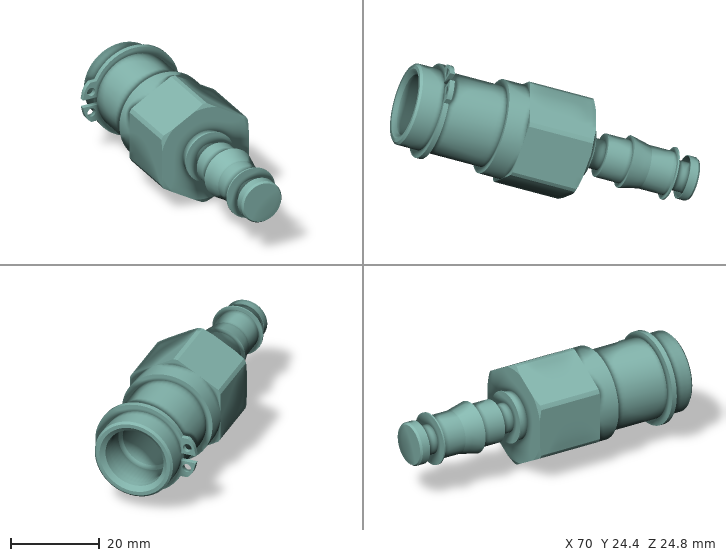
import cadquery as cq
import math

LENGTH = 70.0
GROOVE_START = 5.7
GROOVE_WIDTH = 1.4
COLLAR_START = 20.9
HEX_START = 26.0
HEX_END = 42.0
STEP_END = 44.2
BARREL_START = 47.5
BARB_START = 53.4
BARB_END = 58.1
BARREL_END = 64.5
HEAD_START = 67.55
LIP_WIDTH = 0.35

BODY_DIA = 19.0
GROOVE_DIA = 18.0
COLLAR_DIA = 22.0
STEP_DIA = 11.5
LIP_DIA = 12.25
NECK_DIA = 7.0
BARREL_DIA = 10.15
END_CHAMFER = 0.5
HEAD_CHAMFER_DEPTH = 0.35
HEAD_RECESS_DIA = 9.8
HEAD_RECESS_DEPTH = 1.75

HEX_FLATS = COLLAR_DIA
HEX_CORNER_DIA = 24.8
HEX_CHAMFER_LENGTH = 0.4
HEX_CHAMFER_DEPTH = 1.0

MOUTH_DIA = 16.25
BORE_DIA = 14.1
INNER_BORE_DIA = 12.5
MOUTH_DEPTH = 0.9
BORE_DEPTH = 8.75
SHOULDER_LENGTH = (BORE_DIA - INNER_BORE_DIA) / 2
INNER_BORE_DEPTH = 21.0
DRILL_TIP_ANGLE = 118.0

RING_WIDTH = 1.2
RING_DIA = 22.0
RING_OFFSET = 0.4
RING_TILT = 1.3
LUG_REACH = 12.95
LUG_HALF_HEIGHT = 5.0
LUG_ROOT = 8.4
LUG_SHOULDER = 10.9
LUG_ARC_MIDDLE = (12.0, 3.9)
LUG_ARC_END = (12.6, 2.5)
RING_GAP = 1.9
EYE_DIA = 2.0
EYE_RADIAL = 10.85
EYE_SPACING = 5.2


def revolve_profile(points):
    """Revolve (x, radius) points, closed along the X axis."""
    closed = [(points[0][0], 0), *points]
    end_x, end_radius = points[-1]
    if end_radius > 0:
        closed.append((end_x, 0))
    return cq.Workplane("XY").polyline(closed).close().revolve(360, (0, 0, 0), (1, 0, 0))


def cylinder(start, end, diameter):
    return revolve_profile([(start, diameter / 2), (end, diameter / 2)])


def chamfered_cylinder(start, end, diameter, chamfer_length, chamfer_depth):
    """Cylinder with a conical edge at its +X end."""
    radius = diameter / 2
    return revolve_profile([
        (start, radius),
        (end - chamfer_length, radius),
        (end, radius - chamfer_depth),
    ])


def socket_body():
    body = revolve_profile([
        (0, BODY_DIA / 2 - END_CHAMFER),
        (END_CHAMFER, BODY_DIA / 2),
        (COLLAR_START, BODY_DIA / 2),
    ])
    groove_end = GROOVE_START + GROOVE_WIDTH
    groove = cylinder(GROOVE_START, groove_end, COLLAR_DIA).cut(
        cylinder(GROOVE_START, groove_end, GROOVE_DIA)
    )
    return body.cut(groove).union(cylinder(COLLAR_START, HEX_START, COLLAR_DIA))


def hexagon():
    sharp_corner_dia = HEX_FLATS / math.cos(math.pi / 6)
    prism = (
        cq.Workplane("YZ", origin=(HEX_START, 0, 0))
        .transformed(rotate=(0, 0, 90))
        .polygon(6, sharp_corner_dia)
        .extrude(HEX_END - HEX_START)
    )
    return prism.intersect(chamfered_cylinder(
        HEX_START, HEX_END, HEX_CORNER_DIA, HEX_CHAMFER_LENGTH, HEX_CHAMFER_DEPTH
    ))


def hose_barb():
    stem = cylinder(HEX_END, STEP_END, STEP_DIA)
    stem = stem.union(cylinder(STEP_END - LIP_WIDTH, STEP_END, LIP_DIA))
    stem = stem.union(cylinder(STEP_END, HEAD_START, NECK_DIA))
    stem = stem.union(cylinder(BARREL_START, BARREL_END, BARREL_DIA))
    stem = stem.union(revolve_profile([(BARB_START, LIP_DIA / 2), (BARB_END, BARREL_DIA / 2)]))
    stem = stem.union(cylinder(BARREL_END - LIP_WIDTH, BARREL_END, LIP_DIA))
    head = chamfered_cylinder(HEAD_START, LENGTH, BARREL_DIA, END_CHAMFER, HEAD_CHAMFER_DEPTH)
    recess_end = HEAD_START + HEAD_RECESS_DEPTH
    recess = cylinder(HEAD_START, recess_end, HEAD_RECESS_DIA).cut(
        cylinder(HEAD_START, recess_end, NECK_DIA)
    )
    return stem.union(head.cut(recess))


def socket_bore():
    inner_radius = INNER_BORE_DIA / 2
    tip_length = inner_radius / math.tan(math.radians(DRILL_TIP_ANGLE / 2))
    return revolve_profile([
        (0, MOUTH_DIA / 2),
        (MOUTH_DEPTH, BORE_DIA / 2),
        (BORE_DEPTH, BORE_DIA / 2),
        (BORE_DEPTH + SHOULDER_LENGTH, inner_radius),
        (INNER_BORE_DEPTH, inner_radius),
        (INNER_BORE_DEPTH + tip_length, 0),
    ])


def snap_ring():
    plane = cq.Workplane("YZ", origin=(GROOVE_START, 0, 0))
    ring = plane.center(RING_OFFSET, 0).circle(RING_DIA / 2).extrude(RING_WIDTH)
    middle_y, middle_z = LUG_ARC_MIDDLE
    end_y, end_z = LUG_ARC_END
    for side in (1, -1):
        lug = (
            plane.moveTo(-LUG_ROOT, 0)
            .lineTo(-LUG_ROOT, side * LUG_HALF_HEIGHT)
            .lineTo(-LUG_SHOULDER, side * LUG_HALF_HEIGHT)
            .threePointArc((-middle_y, side * middle_z), (-end_y, side * end_z))
            .lineTo(-LUG_REACH, side * RING_GAP / 2)
            .lineTo(-LUG_REACH, 0)
            .close()
            .extrude(RING_WIDTH)
        )
        ring = ring.union(lug)
    eye_places = [(-EYE_RADIAL, side * EYE_SPACING / 2) for side in (1, -1)]
    eyes = plane.pushPoints(eye_places).circle(EYE_DIA / 2).extrude(RING_WIDTH)
    gap = plane.center(-LUG_REACH / 2, 0).rect(LUG_REACH, RING_GAP).extrude(RING_WIDTH)
    groove_floor = plane.circle(GROOVE_DIA / 2).extrude(RING_WIDTH)
    ring = ring.cut(eyes).cut(gap).cut(groove_floor)
    return ring.rotate((0, 0, 0), (1, 0, 0), RING_TILT)


result = (
    socket_body()
    .union(hexagon())
    .union(hose_barb())
    .union(snap_ring())
    .cut(socket_bore())
)